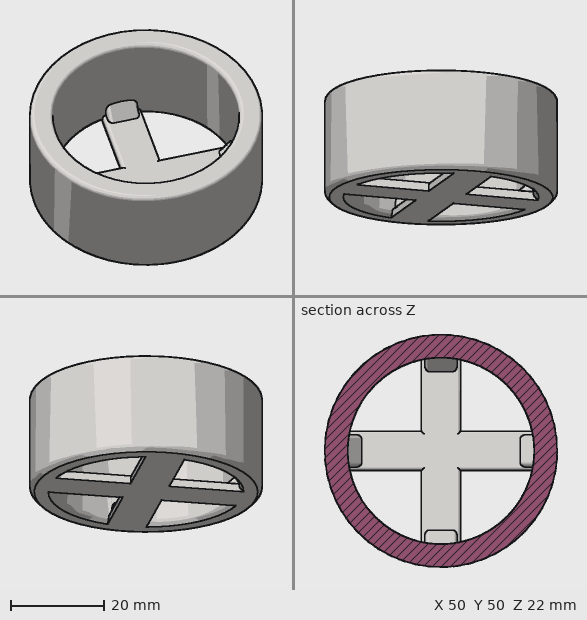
import cadquery as cq

outer_diameter = 50
bore_diameter = 40
height = 22
rim_fillet = 1
base_chamfer = 1
base_blend = 1

arm_width = 8.5
arm_thickness = 2
arm_edge_fillet = 0.75

wedge_size = 3
wedge_edge_fillet = 1
wedge_width = arm_width - 2 * arm_edge_fillet

outer_radius = outer_diameter / 2
bore_radius = bore_diameter / 2
embed_radius = (outer_radius + bore_radius) / 2


def make_ring():
    """Ring with rounded top rims and blended chamfers at both base edges."""
    ring = cq.Workplane("XY").circle(outer_radius).circle(bore_radius).extrude(height)
    ring = ring.faces("<Z").edges().chamfer(base_chamfer)
    shoulder = cq.selectors.BoxSelector(
        (-outer_diameter, -outer_diameter, base_chamfer / 2),
        (outer_diameter, outer_diameter, base_chamfer * 2),
    )
    ring = ring.edges("%CIRCLE").edges(shoulder).fillet(base_blend)
    return ring.faces(">Z").edges().fillet(rim_fillet)


def make_cross():
    """Two crossing arms with rounded upper edges, ending inside the wall."""
    arm = cq.Workplane("XY").box(
        2 * embed_radius, arm_width, arm_thickness, centered=(True, True, False)
    )
    arm = arm.faces(">Z").edges("|X").fillet(arm_edge_fillet)
    return arm.union(arm.rotate((0, 0, 0), (0, 0, 1), 90))


def make_wedge():
    """45 degree wedge on the +X arm, rounded along both sloping edges."""
    toe = bore_radius - wedge_size
    top = arm_thickness + embed_radius - toe
    slope = (
        cq.Workplane("XZ")
        .moveTo(toe, arm_thickness)
        .lineTo(embed_radius, top)
        .lineTo(embed_radius, 0)
        .lineTo(toe, 0)
        .close()
        .extrude(wedge_width / 2, both=True)
    )
    slope = slope.edges("(not |X) and (not |Y) and (not |Z)").fillet(wedge_edge_fillet)
    keep = (
        cq.Workplane("XY")
        .workplane(offset=arm_thickness / 2)
        .rect(outer_diameter, outer_diameter)
        .extrude(arm_thickness / 2 + wedge_size)
    )
    return slope.intersect(keep)


result = make_ring().union(make_cross())
wedge = make_wedge()
for angle in (0, 90, 180, 270):
    result = result.union(wedge.rotate((0, 0, 0), (0, 0, 1), angle))